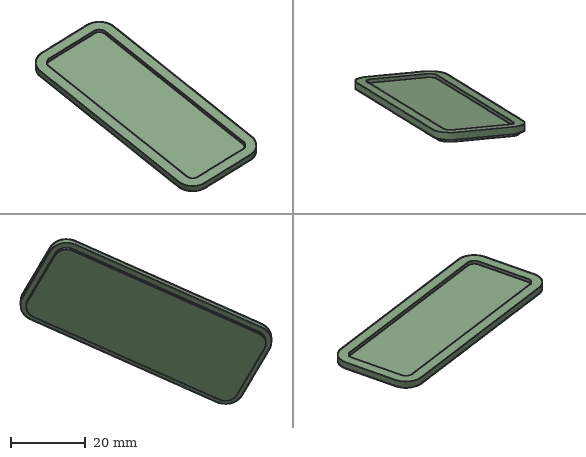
import cadquery as cq

length = 66.0
width = 26.0
height = 3.0
corner_radius = 5.0

foot_height = 1.0
foot_inset = 1.5

rim_width = 3.0
recess_depth = 1.0


def rounded_slab(inset, bottom, thickness):
    """Slab whose outline is the plate outline moved inward by inset."""
    return (
        cq.Workplane("XY")
        .workplane(offset=bottom)
        .rect(length - 2 * inset, width - 2 * inset)
        .extrude(thickness)
        .edges("|Z")
        .fillet(corner_radius - inset)
    )


plate = rounded_slab(0, foot_height, height - foot_height)
foot = rounded_slab(foot_inset, 0, foot_height)
recess = rounded_slab(rim_width, height - recess_depth, recess_depth)

result = plate.union(foot).cut(recess)